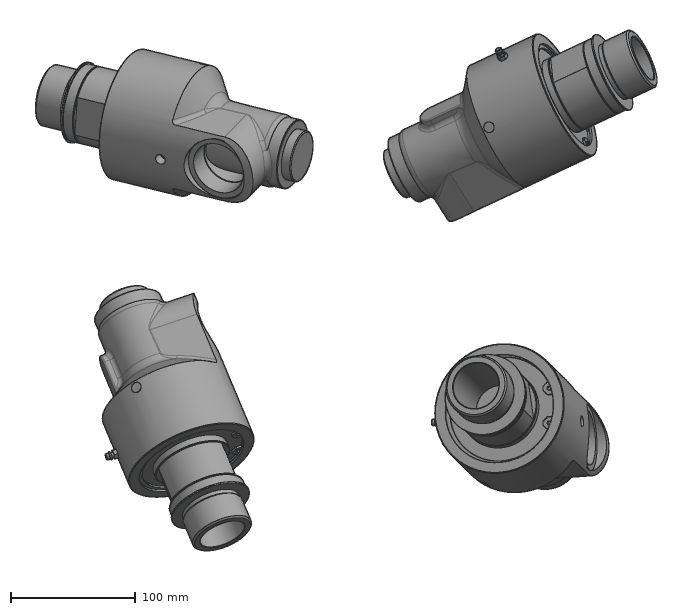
import cadquery as cq
import math

total_length = 227.0

thread_radius = 25.5
thread_end = 24.3
thread_chamfer = 1.4
relief_radius = 24.3
collar_start = 27.5
collar_width = 1.4
collar_radius = 33.4
shaft_radius = 32.0
shaft_bore_radius = 19.0
bore_mouth_chamfer = 0.5

flat_start = 38.0
flat_end = 68.5
across_flats = 55.0
flat_turn = 8.1
shaft_groove_width = 1.0
shaft_groove_depth = 0.7

housing_start = 71.2
housing_end = 132.0
housing_radius = 54.0
housing_chamfer = 0.7
cone_end = 150.5
cone_fillet = 13.0
neck_radius = 30.2
neck_end_radius = 30.0
neck_end = 204.0
rim_start = 208.0
rim_end = 218.5
rim_radius = 28.5
rim_chamfer = 0.7
casting_excess = 31.8
cap_radius = 21.0
cap_chamfer = 1.0

recess_radius = 90.0 / 2
recess_depth = 3.6
ring_thickness = 1.8
ring_inner_radius = 43.3
ring_offset = 1.5
lug_center_y = -40.0
lug_center_z = 14.5
lug_width = 10.5
lug_length = 8.2
lug_corner = 3.6
lug_hole_y = -41.0
lug_hole_diameter = 3.5

port_x = 174.5
boss_arc_x = 179.5
boss_half_height = 29.7
boss_fillet = 4.5
counterbore_radius = 53.8 / 2
port_face_y = -46.0
port_entry_radius = 22.2
port_entry_end_y = -27.5
port_bore_radius = 43.3 / 2
core_radius = 25.0

pad_half_width = 9.8
pad_top_y = 37.0
pad_arc_x = 175.0
pad_root_fillet = 4.5
pad_edge_fillet = 1.1

radial_hole_x = 126.5
radial_hole_diameter = 8.6
radial_hole_depth = 9.0
plug_depth = 0.5
radial_hole_spacing = 120.0

nipple_x = 98.3
nipple_hex_diameter = 8.5
nipple_hex_top = 57.0
nipple_top = 63.3
nipple_neck_radius = 2.5
nipple_bead_radius = 3.5
nipple_bead_y = 59.7
nipple_bead_width = 1.4
nipple_tip_length = 2.5
nipple_tip_radius = 2.7
nipple_tip_chamfer = 0.5


def x_cylinder(radius, start, end):
    return cq.Workplane("YZ").workplane(offset=start).circle(radius).extrude(end - start)


def y_cylinder(x, radius, start, end):
    return cq.Workplane("XZ").workplane(offset=-start).center(x, 0).circle(radius).extrude(start - end)


def make_shaft():
    shaft = x_cylinder(thread_radius, 0, thread_end).faces("<X or >X").chamfer(thread_chamfer)
    shaft = shaft.union(x_cylinder(relief_radius, thread_end - thread_chamfer, collar_start))
    shaft = shaft.union(x_cylinder(collar_radius, collar_start, collar_start + collar_width))
    shaft = shaft.union(x_cylinder(shaft_radius, collar_start, housing_start + recess_depth))

    flat_length = flat_end - flat_start
    slab = cq.Workplane("XY").box(flat_length, across_flats, 3 * shaft_radius)
    slab = slab.translate(((flat_start + flat_end) / 2, 0, 0))
    slab = slab.rotate((0, 0, 0), (1, 0, 0), -flat_turn)
    shaft = shaft.cut(x_cylinder(2 * shaft_radius, flat_start, flat_end).cut(slab))

    for groove_start in (flat_start - shaft_groove_width, flat_end):
        groove_end = groove_start + shaft_groove_width
        groove = x_cylinder(2 * shaft_radius, groove_start, groove_end)
        groove = groove.cut(x_cylinder(shaft_radius - shaft_groove_depth, groove_start, groove_end))
        shaft = shaft.cut(groove)
    return shaft


def rounded_block(start, arc_x, half_width):
    """Outline in XZ, square at the start and closed by a half circle centered at arc_x."""
    return (
        cq.Workplane("XZ")
        .moveTo(start, -half_width)
        .lineTo(arc_x, -half_width)
        .threePointArc((arc_x + half_width, 0), (arc_x, half_width))
        .lineTo(start, half_width)
        .close()
    )


def make_casting():
    """Cone, neck, rim, side boss and pad, with the cone and boss carried on past the housing wall."""
    cone_angle = math.atan2(housing_radius - neck_radius, cone_end - housing_end)
    cone_start = housing_end - casting_excess / math.tan(cone_angle)
    root_length = cone_fillet * math.tan(cone_angle / 2)
    profile = (
        cq.Workplane("XY")
        .moveTo(cone_start, 0)
        .lineTo(cone_start, housing_radius + casting_excess)
        .lineTo(
            cone_end - root_length * math.cos(cone_angle),
            neck_radius + root_length * math.sin(cone_angle),
        )
        .tangentArcPoint((cone_end + root_length, neck_radius), relative=False)
        .lineTo(neck_end, neck_end_radius)
        .tangentArcPoint((rim_start, rim_radius), relative=False)
        .lineTo(rim_end - rim_chamfer, rim_radius)
        .lineTo(rim_end, rim_radius - rim_chamfer)
        .lineTo(rim_end, 0)
        .close()
    )
    casting = profile.revolve(360, (0, 0, 0), (1, 0, 0))

    boss_length = housing_radius + 1.5 * casting_excess
    boss = rounded_block(cone_start, boss_arc_x, boss_half_height).extrude(boss_length)
    pad = rounded_block(cone_start, pad_arc_x, pad_half_width).extrude(-pad_top_y)
    pad = pad.faces(">Y").edges("not <X").fillet(pad_edge_fillet)

    boss_root = cq.selectors.BoxSelector(
        (housing_end - 2.3, -housing_radius + 2.3, -housing_radius),
        (rim_end, -2.3, housing_radius),
    )
    pad_cone_root = cq.selectors.BoxSelector(
        (housing_end, neck_radius, -neck_radius),
        (cone_end - 2.3, housing_radius, neck_radius),
    )
    pad_neck_root = cq.selectors.BoxSelector(
        (cone_end - 2.3, 0.9 * neck_radius, -neck_radius),
        (neck_end, neck_radius + 0.2, neck_radius),
    )
    casting = casting.union(boss).edges(boss_root).fillet(boss_fillet)
    casting = casting.union(pad)
    return casting.edges(pad_cone_root + pad_neck_root).fillet(pad_root_fillet)


def make_housing():
    drum = x_cylinder(housing_radius, housing_start, housing_end)
    drum = drum.faces("<X").chamfer(housing_chamfer)
    casting = make_casting().intersect(x_cylinder(housing_radius, housing_end - 2.3, total_length))
    cap = x_cylinder(cap_radius, rim_end, total_length).faces(">X").chamfer(cap_chamfer)
    return drum.union(casting).union(cap)


def make_port_cut():
    cut = y_cylinder(port_x, counterbore_radius, port_face_y, -2 * housing_radius)
    cut = cut.union(y_cylinder(port_x, port_entry_radius, port_entry_end_y, port_face_y))
    cut = cut.union(y_cylinder(port_x, port_bore_radius, 0, port_entry_end_y))
    return cut.cut(x_cylinder(core_radius, housing_end, rim_end))


def make_retaining_ring():
    ring_start = housing_start + recess_depth - ring_thickness
    ring_end = housing_start + recess_depth
    blank = x_cylinder(recess_radius, ring_start, ring_end)
    opening = x_cylinder(ring_inner_radius, ring_start, ring_end).translate((0, -ring_offset, 0))
    ring = blank.cut(opening)
    for side in (-1, 1):
        lug = (
            cq.Workplane("XY")
            .box(ring_thickness, lug_length, lug_width)
            .edges("|X and >Y")
            .chamfer(lug_corner)
            .translate(((ring_start + ring_end) / 2, lug_center_y, side * lug_center_z))
        )
        hole = x_cylinder(lug_hole_diameter / 2, ring_start, ring_end)
        hole = hole.translate((0, lug_hole_y, side * lug_center_z))
        ring = ring.union(lug.intersect(blank)).cut(hole)
    return ring


def make_nipple():
    hexagon = (
        cq.Workplane("XZ")
        .workplane(offset=-nipple_hex_top)
        .center(nipple_x, 0)
        .polygon(6, nipple_hex_diameter)
        .extrude(nipple_hex_top - housing_radius + 2.3)
    )
    bead_start = nipple_bead_y - nipple_bead_width / 2
    bead_end = nipple_bead_y + nipple_bead_width / 2
    stem = (
        cq.Workplane("XY")
        .moveTo(0, housing_radius)
        .lineTo(nipple_neck_radius, housing_radius)
        .lineTo(nipple_neck_radius, bead_start)
        .threePointArc((nipple_bead_radius, nipple_bead_y), (nipple_neck_radius, bead_end))
        .lineTo(nipple_neck_radius, nipple_top - nipple_tip_length)
        .lineTo(nipple_tip_radius, nipple_top - nipple_tip_length)
        .lineTo(nipple_tip_radius, nipple_top - nipple_tip_chamfer)
        .lineTo(nipple_tip_radius - nipple_tip_chamfer, nipple_top)
        .lineTo(0, nipple_top)
        .close()
        .revolve(360, (0, 0, 0), (0, 1, 0))
    )
    return hexagon.union(stem.translate((nipple_x, 0, 0)))


body = make_housing()

body = body.cut(x_cylinder(recess_radius, housing_start, housing_start + recess_depth))
body = body.union(make_retaining_ring())
body = body.union(make_shaft())

body = body.cut(x_cylinder(shaft_bore_radius, 0, housing_start))
mouth = cq.Solid.makeCone(
    shaft_bore_radius + bore_mouth_chamfer,
    shaft_bore_radius,
    bore_mouth_chamfer,
    dir=cq.Vector(1, 0, 0),
)
body = body.cut(cq.Workplane(mouth))

body = body.cut(make_port_cut())

for turn, depth in (
    (0, radial_hole_depth),
    (radial_hole_spacing, plug_depth),
    (-radial_hole_spacing, plug_depth),
):
    hole = y_cylinder(radial_hole_x, radial_hole_diameter / 2, depth - housing_radius, -housing_radius - 2.3)
    body = body.cut(hole.rotate((0, 0, 0), (1, 0, 0), turn))

result = body.union(make_nipple())